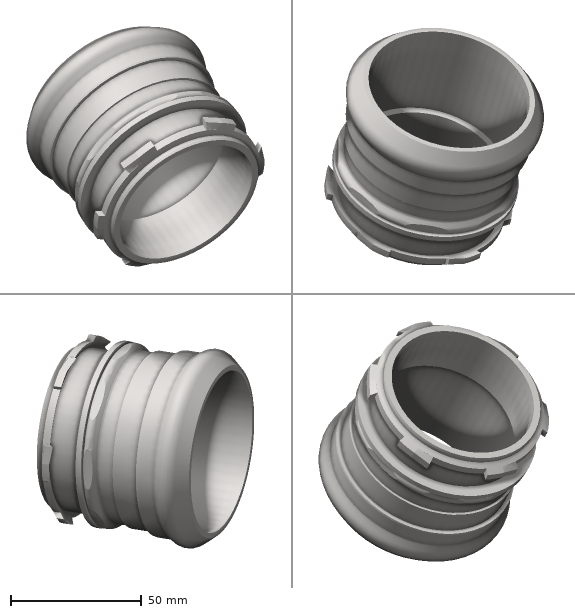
import cadquery as cq
import math

length = 63.6
socket_radius = 63.1 / 2
throat_radius = 57.8 / 2
stop_depth = 41.2

nut_length = 20.9
collar_radius = 72.6 / 2
nut_chamfer_length = 0.8
nut_chamfer_radius = 72.3 / 2
rim_radius = 38.65
rim_center = 8.05
rim_round = 5.25
rim_front_angle = 40.0
rim_back_angle = 30.0
rim_back_fillet = 0.6

shoulder_radius = 69.1 / 2
shoulder_end = 31.1
neck_radius = 67.2 / 2
bead_radius = 36.1
bead_round = 2.3
bead_center = 41.1
bead_neck_fillet = 1.1
flat_count = 8
flat_distance = 35.1
flange_radius = 72.6 / 2
flange_thickness = 2.25
tube_radius = 63.5 / 2
tube_tip_radius = 63.0 / 2
tube_chamfer_length = 1.0

locknut_back = 61.2
locknut_thickness = 3.0
locknut_radius = 34.2
dish_angle = 19.5
tang_count = 6
tang_root_radius = 33.25
tang_root_inset = 0.8
tang_radius = 36.6
tang_half_angle = 11.5
tang_flare = 1.15


def revolve_about_x(profile):
    return profile.close().revolve(360, (0, 0, 0), (1, 0, 0))


def at_station(x):
    """Selector for the edges of a turned body that lie in the plane at x."""
    half = rim_radius
    slack = 0.01
    return cq.selectors.BoxSelector((x - slack, -half, -half), (x + slack, half, half), boundingbox=True)


def make_nut():
    """Compression nut: a sleeve on the body tube with a rounded rim and a plain collar."""
    front = math.radians(rim_front_angle)
    back = math.radians(rim_back_angle)
    arc_radius = rim_radius - rim_round
    front_x = rim_center - rim_round * math.sin(front)
    front_r = arc_radius + rim_round * math.cos(front)
    back_x = rim_center + rim_round * math.sin(back)
    back_r = arc_radius + rim_round * math.cos(back)
    collar_start = back_x + (back_r - collar_radius) / math.tan(back)
    profile = (
        cq.Workplane("XY")
        .moveTo(0, neck_radius)
        .lineTo(front_x, front_r)
        .threePointArc((rim_center, rim_radius), (back_x, back_r))
        .lineTo(collar_start, collar_radius)
        .lineTo(nut_length - nut_chamfer_length, collar_radius)
        .lineTo(nut_length, nut_chamfer_radius)
        .lineTo(nut_length, neck_radius)
    )
    return revolve_about_x(profile).edges(at_station(collar_start)).fillet(rim_back_fillet)


def cut_flats(turned):
    """Cut the ring of flats into the crown of the bead."""
    cutter_depth = bead_radius
    cutter = cq.Workplane("XY").box(2 * bead_round, bead_radius, cutter_depth)
    cutter = cutter.translate((bead_center, 0, flat_distance + cutter_depth / 2))
    for i in range(flat_count):
        turned = turned.cut(cutter.rotate((0, 0, 0), (1, 0, 0), i * 360 / flat_count))
    return turned


def make_body():
    """Connector body: socket tube, shoulder, bead with flats, flange and locknut tube."""
    crown_radius = bead_radius - bead_round
    diagonal = bead_round * math.sqrt(0.5)
    cone_top_x = bead_center - diagonal
    cone_top_r = crown_radius + diagonal
    cone_foot_x = cone_top_x - (cone_top_r - neck_radius)
    flange_start = bead_center + bead_round
    flange_end = flange_start + flange_thickness
    profile = (
        cq.Workplane("XY")
        .moveTo(0, socket_radius)
        .lineTo(0, neck_radius)
        .lineTo(nut_length, neck_radius)
        .lineTo(nut_length, shoulder_radius)
        .lineTo(shoulder_end, shoulder_radius)
        .lineTo(shoulder_end, neck_radius)
        .lineTo(cone_foot_x, neck_radius)
        .lineTo(cone_top_x, cone_top_r)
        .threePointArc((bead_center, bead_radius), (flange_start, crown_radius))
        .lineTo(flange_start, flange_radius)
        .lineTo(flange_end, flange_radius)
        .lineTo(flange_end, tube_radius)
        .lineTo(length - tube_chamfer_length, tube_radius)
        .lineTo(length, tube_tip_radius)
        .lineTo(length, throat_radius)
        .lineTo(stop_depth, throat_radius)
        .lineTo(stop_depth, socket_radius)
    )
    turned = revolve_about_x(profile).edges(at_station(cone_foot_x)).fillet(bead_neck_fillet)
    return cut_flats(turned)


def dish_back(radius):
    """X of the locknut's dished back face at a radius; the front face is parallel to it."""
    return locknut_back - (radius - tube_radius) * math.tan(math.radians(dish_angle))


def dish_profile(outer_radius):
    inner_back = dish_back(tube_radius)
    outer_back = dish_back(outer_radius)
    profile = cq.Workplane("XY").polyline([
        (inner_back - locknut_thickness, tube_radius),
        (outer_back - locknut_thickness, outer_radius),
        (outer_back, outer_radius),
        (inner_back, tube_radius),
    ])
    return profile.close()


def flare_section(turn):
    """Section of a tang at a turn (degrees) past its middle; the tip leans forward with the turn."""
    lean = tang_flare * turn / tang_half_angle
    root_back = dish_back(tang_root_radius)
    rim_back = dish_back(locknut_radius)
    tip_back = dish_back(tang_radius) - lean
    corners = [
        (root_back - tang_root_inset, tang_root_radius),
        (rim_back, locknut_radius),
        (tip_back, tang_radius),
        (tip_back - locknut_thickness, tang_radius),
        (rim_back - locknut_thickness, locknut_radius),
        (root_back - locknut_thickness + tang_root_inset, tang_root_radius),
    ]
    cosine = math.cos(math.radians(turn))
    sine = math.sin(math.radians(turn))
    points = [cq.Vector(x, radius * cosine, radius * sine) for x, radius in corners]
    return cq.Wire.makePolygon(points, close=True)


def make_flare():
    """Flared half of a tang, with a narrow root sunk into the locknut ring."""
    sections = [flare_section(0), flare_section(tang_half_angle)]
    return cq.Workplane(cq.Solid.makeLoft(sections, True))


def make_tang_gap():
    """Sector outside the ring between the plain half of one tang and that of the next."""
    plain_end = 360 / tang_count - tang_half_angle
    sector = (
        cq.Workplane("XY")
        .moveTo(dish_back(tang_radius) - 2 * locknut_thickness, locknut_radius)
        .lineTo(locknut_back + locknut_thickness, locknut_radius)
        .lineTo(locknut_back + locknut_thickness, tang_radius + 0.8)
        .lineTo(dish_back(tang_radius) - 2 * locknut_thickness, tang_radius + 0.8)
        .close()
    )
    return sector.revolve(plain_end, (0, 0, 0), (1, 0, 0))


def make_locknut():
    """Dished locknut with evenly spaced tangs, each half plain and half flared toward the flange."""
    locknut = dish_profile(tang_radius).revolve(360, (0, 0, 0), (1, 0, 0))
    gap = make_tang_gap()
    flare = make_flare()
    turns = [i * 360 / tang_count for i in range(tang_count)]
    for turn in turns:
        locknut = locknut.cut(gap.rotate((0, 0, 0), (1, 0, 0), turn))
    for turn in turns:
        locknut = locknut.union(flare.rotate((0, 0, 0), (1, 0, 0), turn))
    return locknut


nut = make_nut()
body = make_body()
locknut = make_locknut()
result = cq.Compound.makeCompound([nut.val(), body.val(), locknut.val()])